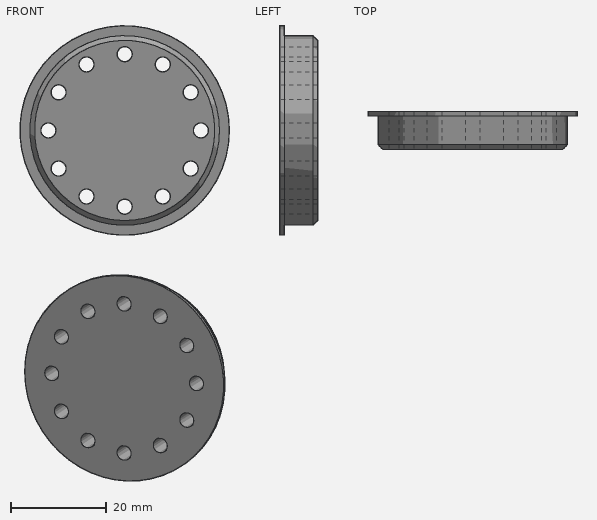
import cadquery as cq

flange_diameter = 44.0
flange_thickness = 1.0
plug_diameter = 39.8
total_depth = 8.0
chamfer_size = 1.0
hole_diameter = 3.1
hole_circle_diameter = 32.0
hole_count = 12

plug_depth = total_depth - flange_thickness


def make_flange():
    """Thin rim whose outer face lies on Y = 0, extending toward -Y."""
    return cq.Workplane("XZ").circle(flange_diameter / 2).extrude(flange_thickness)


def make_plug():
    """Cylindrical plug in front of the flange, chamfered at its -Y end."""
    plug = (
        cq.Workplane("XZ", origin=(0, -flange_thickness, 0))
        .circle(plug_diameter / 2)
        .extrude(plug_depth)
    )
    return plug.faces("<Y").edges().chamfer(chamfer_size)


def make_holes():
    """Ring of equally spaced holes running through the full depth."""
    return (
        cq.Workplane("XZ")
        .polarArray(hole_circle_diameter / 2, 0, 360, hole_count)
        .circle(hole_diameter / 2)
        .extrude(total_depth)
    )


result = make_flange().union(make_plug()).cut(make_holes())